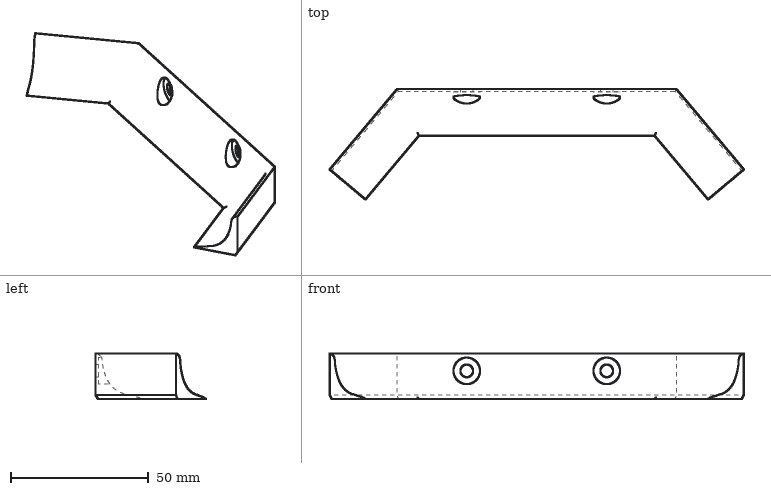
import cadquery as cq
import math

total_length = 150.6
height = 16.5
depth = 17.0
bend_angle = 50.0
back_half_length = 50.7

chamfer_depth = 0.9
chamfer_height = 1.5
crest = (2.4, 14.5)
rounding_middle = (1.7, 15.8)
wall_middle = (3.0, 10.5)
wall_foot = (4.4, 7.0)
floor_start = (10.2, 2.0)
lip_start = (13.9, 1.0)
lip_middle = (15.7, 0.6)

hole_spacing = 50.9
hole_height = 10.2
hole_diameter = 4.5
head_diameter = 9.6
seat_distance = 1.0

corner_overlap = 1.5

bend = math.radians(bend_angle)
arm_reach_x = total_length / 2 - back_half_length
arm_reach_y = arm_reach_x * math.tan(bend)
back_path = [
    (-total_length / 2, -arm_reach_y),
    (-back_half_length, 0),
    (back_half_length, 0),
    (total_length / 2, -arm_reach_y),
]
end_plane = cq.Plane(
    origin=(*back_path[0], 0),
    xDir=(math.sin(bend), -math.cos(bend), 0),
    normal=(-math.cos(bend), -math.sin(bend), 0),
)


def sweep_along_back(section):
    """Carry a section along the back edge with mitred bends."""
    path = cq.Workplane("XY").polyline(back_path)
    return section.sweep(path, transition="right")


def start_section():
    """Begin a section with its chamfered back edge, ending at the top of the back face."""
    return (
        cq.Workplane(end_plane)
        .moveTo(chamfer_depth, 0)
        .lineTo(0, chamfer_height)
        .lineTo(0, height)
    )


def add_hollow(section):
    """Draw the rounded top and the concave hollow, which runs smoothly into the floor."""
    return (
        section.threePointArc(rounding_middle, crest)
        .threePointArc(wall_middle, wall_foot)
        .tangentArcPoint(floor_start, relative=False)
    )


def make_profile():
    section = add_hollow(start_section()).lineTo(*lip_start)
    return sweep_along_back(section.threePointArc(lip_middle, (depth, 0)).close())


def make_envelope():
    section = start_section().lineTo(depth, height).lineTo(depth, 0)
    return sweep_along_back(section.close())


def make_bend_filling(side):
    """Round the hollow inside a bend by turning its section about the start of the floor."""
    pivot_distance = floor_start[0]
    pivot_x = side * (back_half_length - pivot_distance * math.tan(bend / 2))
    beyond_corner = pivot_distance * (1 - 1 / math.cos(bend / 2)) - corner_overlap
    plane = cq.Plane(origin=(pivot_x, 0, 0), xDir=(0, -1, 0), normal=(-1, 0, 0))
    section = (
        cq.Workplane(plane)
        .moveTo(pivot_distance, 0)
        .lineTo(beyond_corner, 0)
        .lineTo(beyond_corner, height)
        .lineTo(0, height)
    )
    section = add_hollow(section).close()
    axis_top = (pivot_distance, side * -height)
    return section.revolve(bend_angle, (pivot_distance, 0), axis_top)


def make_hole(x):
    plane = cq.Plane(origin=(x, 0, hole_height), xDir=(1, 0, 0), normal=(0, -1, 0))
    shank = cq.Workplane(plane).circle(hole_diameter / 2).extrude(depth)
    head = cq.Workplane(plane).workplane(offset=seat_distance).circle(head_diameter / 2).extrude(depth)
    return shank.union(head)


result = make_profile()
envelope = make_envelope()
for side in (-1, 1):
    result = result.union(make_bend_filling(side).intersect(envelope))
for side in (-1, 1):
    result = result.cut(make_hole(side * hole_spacing / 2))